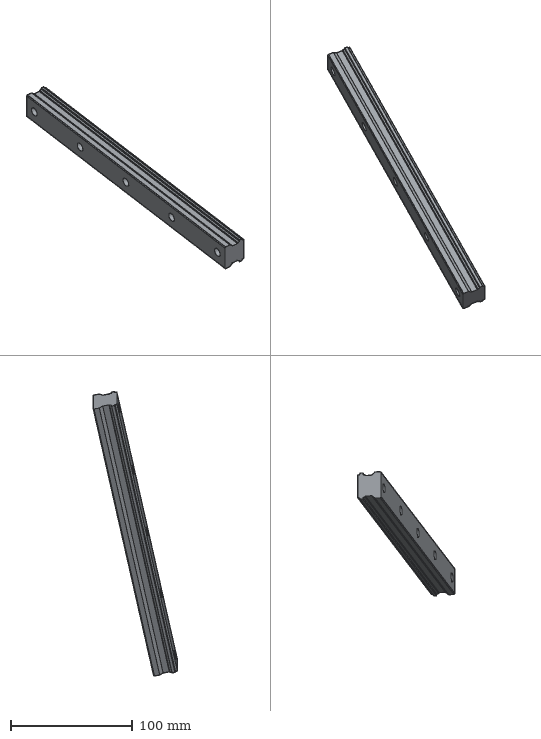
import cadquery as cq

length = 260.0
depth = 20.0
width = 23.0

ridge_start = 1.5
ridge_lead_in = 0.5
ridge_end = 4.5
ridge_drop_end = 4.7
groove_end = 6.2
floor_start = 6.8
floor_end = 12.0
base_start = 14.8

back_inset = 1.7
shoulder_inset = 1.3
ridge_foot_inset = 1.3
groove_end_inset = 1.8
floor_inset = 2.47
front_chamfer = 0.8

hole_diameter = 7.3
hole_count = 5
hole_end_distance = length / 26
hole_pitch = (length - 2 * hole_end_distance) / (hole_count - 1)


def rail_body():
    """Extrude the profile, whose two flanks mirror each other about mid-width."""
    back_y = depth / 2
    half_width = width / 2
    flank = [
        (0, back_inset),
        (ridge_start, shoulder_inset),
        (ridge_start + ridge_lead_in, 0),
        (ridge_end, 0),
        (ridge_drop_end, ridge_foot_inset),
        (groove_end, groove_end_inset),
        (floor_start, floor_inset),
        (floor_end, floor_inset),
        (base_start, 0),
        (depth - front_chamfer, 0),
        (depth, front_chamfer),
    ]
    upper = [(back_y - along, half_width - inset) for along, inset in flank]
    lower = [(y, -z) for y, z in reversed(upper)]
    return (
        cq.Workplane("YZ")
        .polyline(upper + lower)
        .close()
        .extrude(length / 2, both=True)
    )


def mounting_holes():
    """Row of plain through holes running front to back."""
    return (
        cq.Workplane("XZ")
        .rarray(hole_pitch, 2.5, hole_count, 1)
        .circle(hole_diameter / 2)
        .extrude(depth, both=True)
    )


result = rail_body().cut(mounting_holes())